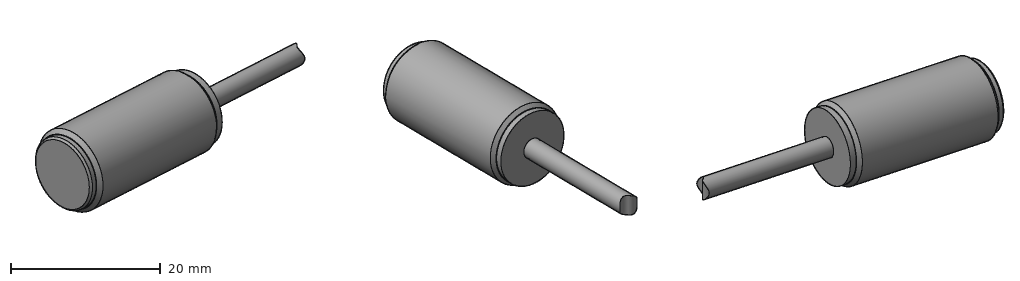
import cadquery as cq

body_diameter = 12.0
body_length = 25.0

nose_diameter = 10.6
nose_length = 1.0
nose_edge_chamfer = 0.3

barrel_chamfer = 0.6

collar_diameter = 11.0
collar_length = 1.0

cable_diameter = 3.0
cable_length = 20.0
break_wave_height = 0.4

body_radius = body_diameter / 2
nose_radius = nose_diameter / 2
collar_radius = collar_diameter / 2
barrel_end_radius = body_radius - barrel_chamfer
cable_radius = cable_diameter / 2
cable_end = body_length + cable_length


def make_body():
    """Cylindrical housing with a stepped nose, a rear collar and 45 degree barrel chamfers."""
    collar_start = body_length - collar_length
    half_profile = (
        cq.Workplane("XY")
        .moveTo(0, 0)
        .lineTo(nose_radius - nose_edge_chamfer, 0)
        .lineTo(nose_radius, nose_edge_chamfer)
        .lineTo(nose_radius, nose_length)
        .lineTo(barrel_end_radius, nose_length)
        .lineTo(body_radius, nose_length + barrel_chamfer)
        .lineTo(body_radius, collar_start - barrel_chamfer)
        .lineTo(barrel_end_radius, collar_start)
        .lineTo(collar_radius, collar_start)
        .lineTo(collar_radius, body_length)
        .lineTo(0, body_length)
        .close()
    )
    return half_profile.revolve(360, (0, 0, 0), (0, 1, 0))


def make_cable():
    """Round cable stub whose free end is an S-shaped break running along Z."""
    cable_cylinder = cq.Workplane("XZ").circle(cable_radius).extrude(-(cable_end + break_wave_height))
    crest = (-cable_radius / 2, cable_end + break_wave_height)
    trough = (cable_radius / 2, cable_end - break_wave_height)
    break_outline = (
        cq.Workplane("XY")
        .moveTo(-cable_radius, 0)
        .lineTo(-cable_radius, cable_end)
        .threePointArc(crest, (0, cable_end))
        .threePointArc(trough, (cable_radius, cable_end))
        .lineTo(cable_radius, 0)
        .close()
        .extrude(cable_radius, both=True)
    )
    return cable_cylinder.intersect(break_outline)


result = make_body().union(make_cable())